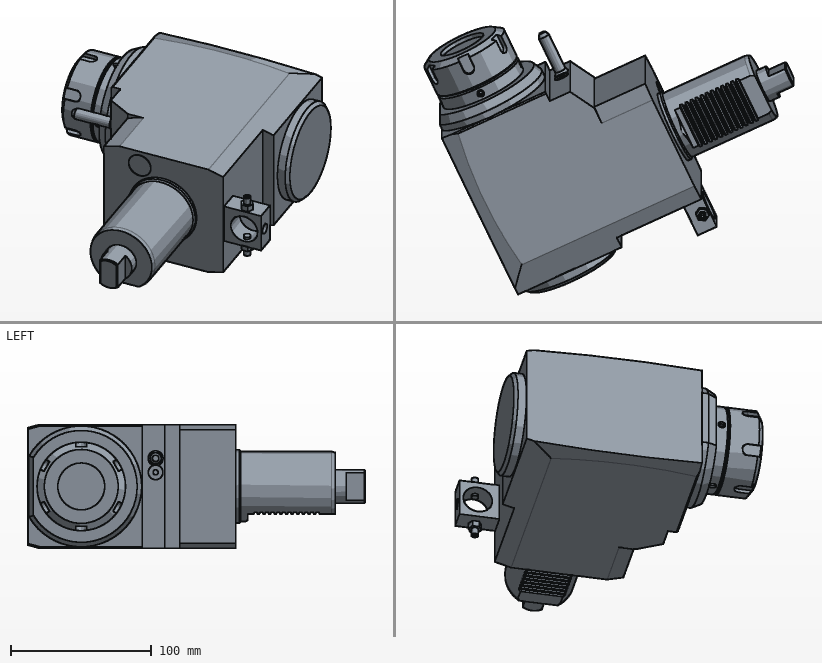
import math

import cadquery as cq


HALF_HEIGHT = 44.0
BACK_Y = 148.0
HEAD_LEFT_X = -72.2
HEAD_RIGHT_X = 55.4
HEAD_FRONT_Y = 66.5
SHOULDER_X = -64.9
SHOULDER_Y = 50.5
FOOT_LEFT_X = -46.7
FOOT_RIGHT_X = 47.0
FOOT_TOP_Y = 40.0
HEAD_EDGE_CHAMFER = 1.2
SLOPE = math.tan(math.radians(15))
RIGHT_SLOPE_START_X = 35.2
FOOT_SLOPE_WIDTH = 12.0
FOOT_SLOPE_DROP = 3.6
BACK_CROWN_Z = 41.85
BACK_CROWN_RADIUS = 1240.0
BACK_CROWN_X = -18.0

SPINDLE_Y = 110.0
FLANGE_FACE_X = -83.5
FLANGE_RADIUS = 43.0
FLANGE_FLAT_OFFSET = 37.2
FLANGE_CHAMFER_LENGTH = 6.4
FLANGE_CHAMFER_DEPTH = 3.2
RING_LEFT_X = -92.2
NUT_RADIUS = 31.5
NUT_LEFT_X = -119.0
NUT_RIGHT_X = -93.6
NUT_FACE_RADIUS = 26.3
NUT_NOSE_LENGTH = 3.6
NUT_REAR_CHAMFER = 0.7
NECK_RADIUS = 25.6
NUT_BORE_RADIUS = 16.7
NUT_BORE_DEPTH = 3.0
SLOT_COUNT = 6
SLOT_WIDTH = 8.0
SLOT_LENGTH = 15.0
SLOT_FLOOR_RADIUS = 28.4
RING_HOLE_COUNT = 4
RING_HOLE_X = -88.0
RING_HOLE_DIAMETER = 3.0
RING_HOLE_SINK_DIAMETER = 5.2
RING_HOLE_SINK_DEPTH = 1.1
RING_HOLE_DEPTH = 4.0
CAP_RADIUS = 37.0
CAP_END_X = 64.0
CAP_CHAMFER = 2.5

PIN_Y = 57.1
PIN_Z = 20.0
PIN_RADIUS = 4.0
PIN_END_X = -97.8
PIN_TIP_LENGTH = 2.8
PIN_TIP_RADIUS = 2.3
PIN_COLLAR_LENGTH = 2.5
PIN_COLLAR_RADIUS = 5.3
OUTLET_Z = 10.0
OUTLET_DIAMETER = 10.4
OUTLET_HEIGHT = 0.7
OUTLET_HOLE_DIAMETER = 3.6
OUTLET_HOLE_DEPTH = 5.0

SHANK_RADIUS = 25.0
SHANK_LENGTH = 70.8
SHANK_END_TAPER_LENGTH = 3.0
SHANK_END_TAPER_DEPTH = 0.8
COLLAR_RADIUS = 26.2
COLLAR_LENGTH = 2.3
FLAT_Z = -19.7
FLAT_START_Y = -8.6
FLAT_CORNER_RADIUS = 2.0
TOOTH_PITCH = 4.0
GROOVE_COUNT = 12
FIRST_GROOVE_Y = -14.1
GROOVE_TOP_WIDTH = 2.9
GROOVE_FLOOR_WIDTH = 1.6
GROOVE_DEPTH = 1.3
TANG_RADIUS = 12.0
TANG_WIDTH = 14.0
TANG_COLLAR_LENGTH = 7.6
TANG_END_Y = -92.0
TANG_CHAMFER = 0.8

PLUG_X = -18.6
PLUG_Z = 32.0
PLUG_DIAMETER = 17.4
PLUG_DEPTH = 0.3

CLAMP_END_X = 76.1
CLAMP_FRONT_Y = 1.5
CLAMP_DEPTH = 15.0
CLAMP_HALF_HEIGHT = 14.8
CLAMP_BORE_X = 62.8
CLAMP_BORE_DIAMETER = 21.0
CLAMP_SIDE_HOLE_DIAMETER = 7.5
CLAMP_SIDE_HOLE_Y = 8.0
SCREW_Y = 6.5
SCREW_DIAMETER = 5.0
SCREW_INNER_Z = 8.7
SCREW_OUTER_Z = 24.6
SCREW_SOCKET_CORNER_DIAMETER = 2.9
SCREW_SOCKET_DEPTH = 2.0
LOCK_NUT_CORNER_DIAMETER = 9.4
LOCK_NUT_HEIGHT = 4.5

OVERLAP = 2.0


def turned_on_x(profile, y, z=0.0):
    """Revolve a closed (x, radius) profile about the line through (y, z) parallel to X."""
    blank = cq.Workplane("XY").polyline(profile).close()
    return blank.revolve(360, (0, 0, 0), (1, 0, 0)).translate((0, y, z))


def turned_on_y(profile):
    """Revolve a closed (radius, y) profile about the Y axis."""
    return cq.Workplane("XY").polyline(profile).close().revolve(360, (0, 0, 0), (0, 1, 0))


def prism_along_y(outline, y_low, y_high):
    """Extrude a closed (x, z) outline from y_low to y_high."""
    face = cq.Workplane("XZ", origin=(0, y_high, 0)).polyline(outline).close()
    return face.extrude(y_high - y_low)


def make_housing():
    plan = [
        (HEAD_LEFT_X, BACK_Y),
        (HEAD_LEFT_X, HEAD_FRONT_Y),
        (SHOULDER_X, HEAD_FRONT_Y),
        (SHOULDER_X, SHOULDER_Y),
        (FOOT_LEFT_X, FOOT_TOP_Y),
        (FOOT_LEFT_X, 0),
        (FOOT_RIGHT_X, 0),
        (FOOT_RIGHT_X, HEAD_FRONT_Y),
        (HEAD_RIGHT_X, HEAD_FRONT_Y),
        (HEAD_RIGHT_X, BACK_Y),
    ]
    block = cq.Workplane("XY").polyline(plan).close().extrude(HALF_HEIGHT, both=True)

    chamfered_z = HALF_HEIGHT - HEAD_EDGE_CHAMFER
    right_z = HALF_HEIGHT - SLOPE * (HEAD_RIGHT_X - RIGHT_SLOPE_START_X)
    upper = [
        (HEAD_LEFT_X, chamfered_z),
        (HEAD_LEFT_X + HEAD_EDGE_CHAMFER, HALF_HEIGHT),
        (RIGHT_SLOPE_START_X, HALF_HEIGHT),
        (HEAD_RIGHT_X, right_z),
    ]
    lower = [(x, -z) for x, z in reversed(upper)]
    block = block.intersect(prism_along_y(upper + lower, 0, BACK_Y))

    crown = turned_on_y([
        (0, 0),
        (BACK_CROWN_RADIUS + SLOPE * BACK_Y, 0),
        (BACK_CROWN_RADIUS, BACK_Y),
        (0, BACK_Y),
    ])
    centre_z = BACK_CROWN_Z - BACK_CROWN_RADIUS
    for side in (1, -1):
        block = block.intersect(crown.translate((BACK_CROWN_X, 0, side * centre_z)))

    for side in (1, -1):
        bevel = [
            (FOOT_LEFT_X, side * (HALF_HEIGHT - FOOT_SLOPE_DROP)),
            (FOOT_LEFT_X + FOOT_SLOPE_WIDTH, side * HALF_HEIGHT),
            (FOOT_LEFT_X, side * HALF_HEIGHT),
        ]
        block = block.cut(prism_along_y(bevel, 0, FOOT_TOP_Y))
    return block


def cut_plug(body):
    plug = (
        cq.Workplane("XZ", origin=(PLUG_X, PLUG_DEPTH, PLUG_Z))
        .circle(PLUG_DIAMETER / 2)
        .extrude(PLUG_DEPTH + OVERLAP)
    )
    return body.cut(plug)


def make_flange():
    shoulder_x = FLANGE_FACE_X + FLANGE_CHAMFER_LENGTH
    root_x = HEAD_LEFT_X + OVERLAP
    flange = turned_on_x([
        (FLANGE_FACE_X, 0),
        (FLANGE_FACE_X, FLANGE_RADIUS - FLANGE_CHAMFER_DEPTH),
        (shoulder_x, FLANGE_RADIUS),
        (root_x, FLANGE_RADIUS),
        (root_x, 0),
    ], SPINDLE_Y)
    flat_y = SPINDLE_Y + FLANGE_FLAT_OFFSET
    keep = [
        (FLANGE_FACE_X, SPINDLE_Y - FLANGE_RADIUS),
        (FLANGE_FACE_X, flat_y - FLANGE_CHAMFER_DEPTH),
        (shoulder_x, flat_y),
        (root_x, flat_y),
        (root_x, SPINDLE_Y - FLANGE_RADIUS),
    ]
    return flange.intersect(cq.Workplane("XY").polyline(keep).close().extrude(FLANGE_RADIUS, both=True))


def make_collet_nut():
    root_x = FLANGE_FACE_X + OVERLAP
    bore_floor_x = NUT_LEFT_X + NUT_BORE_DEPTH
    nut = (
        cq.Workplane("XY")
        .moveTo(bore_floor_x, 0)
        .lineTo(bore_floor_x, NUT_BORE_RADIUS)
        .lineTo(NUT_LEFT_X, NUT_BORE_RADIUS)
        .lineTo(NUT_LEFT_X, NUT_FACE_RADIUS)
        .lineTo(NUT_LEFT_X + NUT_NOSE_LENGTH, NUT_RADIUS)
        .lineTo(NUT_RIGHT_X - NUT_REAR_CHAMFER, NUT_RADIUS)
        .lineTo(NUT_RIGHT_X, NUT_RADIUS - NUT_REAR_CHAMFER)
        .lineTo(NUT_RIGHT_X, NECK_RADIUS)
        .lineTo(RING_LEFT_X, NECK_RADIUS)
        .lineTo(RING_LEFT_X, NUT_RADIUS)
        .lineTo(root_x, NUT_RADIUS)
        .lineTo(root_x, 0)
        .close()
        .revolve(360, (0, 0, 0), (1, 0, 0))
    )

    end_x = NUT_LEFT_X + SLOT_LENGTH - SLOT_WIDTH / 2
    slot = (
        cq.Workplane("XY", origin=(0, 0, SLOT_FLOOR_RADIUS))
        .moveTo(NUT_LEFT_X - OVERLAP, -SLOT_WIDTH / 2)
        .lineTo(end_x, -SLOT_WIDTH / 2)
        .threePointArc((end_x + SLOT_WIDTH / 2, 0), (end_x, SLOT_WIDTH / 2))
        .lineTo(NUT_LEFT_X - OVERLAP, SLOT_WIDTH / 2)
        .close()
        .extrude(NUT_RADIUS)
    )
    for i in range(SLOT_COUNT):
        nut = nut.cut(slot.rotate((0, 0, 0), (1, 0, 0), i * 360 / SLOT_COUNT))

    ring_hole = (
        cq.Workplane("XY", origin=(RING_HOLE_X, 0, NUT_RADIUS - RING_HOLE_DEPTH))
        .circle(RING_HOLE_DIAMETER / 2)
        .extrude(RING_HOLE_DEPTH)
    )
    sink = (
        cq.Workplane("XY", origin=(RING_HOLE_X, 0, NUT_RADIUS - RING_HOLE_SINK_DEPTH))
        .circle(RING_HOLE_DIAMETER / 2)
        .workplane(offset=RING_HOLE_SINK_DEPTH)
        .circle(RING_HOLE_SINK_DIAMETER / 2)
        .loft()
    )
    ring_hole = ring_hole.union(sink)
    for i in range(RING_HOLE_COUNT):
        nut = nut.cut(ring_hole.rotate((0, 0, 0), (1, 0, 0), i * 360 / RING_HOLE_COUNT))
    return nut.translate((0, SPINDLE_Y, 0))


def make_end_cap():
    root_x = HEAD_RIGHT_X - OVERLAP
    return turned_on_x([
        (root_x, 0),
        (root_x, CAP_RADIUS),
        (CAP_END_X - CAP_CHAMFER, CAP_RADIUS),
        (CAP_END_X, CAP_RADIUS - CAP_CHAMFER),
        (CAP_END_X, 0),
    ], SPINDLE_Y)


def make_pin():
    root_x = SHOULDER_X + OVERLAP
    return turned_on_x([
        (PIN_END_X, 0),
        (PIN_END_X, PIN_TIP_RADIUS),
        (PIN_END_X + PIN_TIP_LENGTH, PIN_RADIUS),
        (SHOULDER_X - PIN_COLLAR_LENGTH, PIN_RADIUS),
        (SHOULDER_X, PIN_COLLAR_RADIUS),
        (root_x, PIN_COLLAR_RADIUS),
        (root_x, 0),
    ], PIN_Y, PIN_Z)


def add_outlet(body):
    face = cq.Workplane("YZ", origin=(SHOULDER_X - OUTLET_HEIGHT, PIN_Y, OUTLET_Z))
    disc = face.circle(OUTLET_DIAMETER / 2).extrude(OUTLET_HEIGHT + OVERLAP)
    hole = face.circle(OUTLET_HOLE_DIAMETER / 2).extrude(OUTLET_HOLE_DEPTH)
    return body.union(disc).cut(hole)


def make_shank():
    collar_end_y = -COLLAR_LENGTH - (COLLAR_RADIUS - SHANK_RADIUS)
    shank = turned_on_y([
        (0, OVERLAP),
        (SHANK_RADIUS, OVERLAP),
        (SHANK_RADIUS, 0),
        (COLLAR_RADIUS, 0),
        (COLLAR_RADIUS, -COLLAR_LENGTH),
        (SHANK_RADIUS, collar_end_y),
        (SHANK_RADIUS, SHANK_END_TAPER_LENGTH - SHANK_LENGTH),
        (SHANK_RADIUS - SHANK_END_TAPER_DEPTH, -SHANK_LENGTH),
        (0, -SHANK_LENGTH),
    ])

    low_z = -SHANK_RADIUS - OVERLAP
    round_end_y = FLAT_START_Y + FLAT_CORNER_RADIUS
    bulge = FLAT_CORNER_RADIUS * (1 - math.sqrt(0.5))
    flat = (
        cq.Workplane("YZ")
        .moveTo(-SHANK_LENGTH - OVERLAP, FLAT_Z)
        .lineTo(FLAT_START_Y, FLAT_Z)
        .lineTo(FLAT_START_Y, -SHANK_RADIUS + FLAT_CORNER_RADIUS)
        .threePointArc((FLAT_START_Y + bulge, -SHANK_RADIUS + bulge), (round_end_y, -SHANK_RADIUS))
        .lineTo(round_end_y, low_z)
        .lineTo(-SHANK_LENGTH - OVERLAP, low_z)
        .close()
        .extrude(SHANK_RADIUS, both=True)
    )
    shank = shank.cut(flat)

    for i in range(GROOVE_COUNT):
        centre_y = FIRST_GROOVE_Y - i * TOOTH_PITCH
        groove = (
            cq.Workplane("YZ")
            .moveTo(centre_y - GROOVE_TOP_WIDTH / 2, FLAT_Z)
            .lineTo(centre_y - GROOVE_FLOOR_WIDTH / 2, FLAT_Z + GROOVE_DEPTH)
            .lineTo(centre_y + GROOVE_FLOOR_WIDTH / 2, FLAT_Z + GROOVE_DEPTH)
            .lineTo(centre_y + GROOVE_TOP_WIDTH / 2, FLAT_Z)
            .close()
            .extrude(SHANK_RADIUS, both=True)
        )
        shank = shank.cut(groove)
    return shank


def make_tang():
    root_y = OVERLAP - SHANK_LENGTH
    collar_end_y = -SHANK_LENGTH - TANG_COLLAR_LENGTH
    round_bar = turned_on_y([
        (0, root_y),
        (TANG_RADIUS, root_y),
        (TANG_RADIUS, TANG_END_Y + TANG_CHAMFER),
        (TANG_RADIUS - TANG_CHAMFER, TANG_END_Y),
        (0, TANG_END_Y),
    ])
    keep = [
        (-TANG_RADIUS, root_y),
        (-TANG_RADIUS, collar_end_y),
        (-TANG_WIDTH / 2, collar_end_y),
        (-TANG_WIDTH / 2, TANG_END_Y + TANG_CHAMFER),
        (-TANG_WIDTH / 2 + TANG_CHAMFER, TANG_END_Y),
    ]
    keep += [(-x, y) for x, y in reversed(keep)]
    return round_bar.intersect(cq.Workplane("XY").polyline(keep).close().extrude(TANG_RADIUS, both=True))


def make_clamp():
    root_x = FOOT_RIGHT_X - OVERLAP
    middle_y = CLAMP_FRONT_Y + CLAMP_DEPTH / 2
    clamp = cq.Workplane("XY").box(
        CLAMP_END_X - root_x, CLAMP_DEPTH, 2 * CLAMP_HALF_HEIGHT, centered=(False, True, True)
    ).translate((root_x, middle_y, 0))
    bore = (
        cq.Workplane("XZ", origin=(CLAMP_BORE_X, CLAMP_FRONT_Y + CLAMP_DEPTH, 0))
        .circle(CLAMP_BORE_DIAMETER / 2)
        .extrude(CLAMP_DEPTH)
    )
    side_hole = (
        cq.Workplane("YZ", origin=(CLAMP_BORE_X, CLAMP_SIDE_HOLE_Y, 0))
        .circle(CLAMP_SIDE_HOLE_DIAMETER / 2)
        .extrude(CLAMP_END_X - CLAMP_BORE_X)
    )
    clamp = clamp.cut(bore).cut(side_hole)

    screw = (
        cq.Workplane("XY", origin=(CLAMP_BORE_X, SCREW_Y, SCREW_INNER_Z))
        .circle(SCREW_DIAMETER / 2)
        .extrude(SCREW_OUTER_Z - SCREW_INNER_Z)
    )
    socket = (
        cq.Workplane("XY", origin=(CLAMP_BORE_X, SCREW_Y, SCREW_OUTER_Z - SCREW_SOCKET_DEPTH))
        .polygon(6, SCREW_SOCKET_CORNER_DIAMETER)
        .extrude(SCREW_SOCKET_DEPTH)
    )
    lock_nut = (
        cq.Workplane("XY", origin=(CLAMP_BORE_X, SCREW_Y, CLAMP_HALF_HEIGHT))
        .polygon(6, LOCK_NUT_CORNER_DIAMETER)
        .extrude(LOCK_NUT_HEIGHT)
    )
    fastener = screw.union(lock_nut).cut(socket)
    return clamp.union(fastener).union(fastener.mirror("XY"))


result = add_outlet(cut_plug(make_housing()))
for feature in (
    make_flange(),
    make_collet_nut(),
    make_end_cap(),
    make_pin(),
    make_shank(),
    make_tang(),
    make_clamp(),
):
    result = result.union(feature)